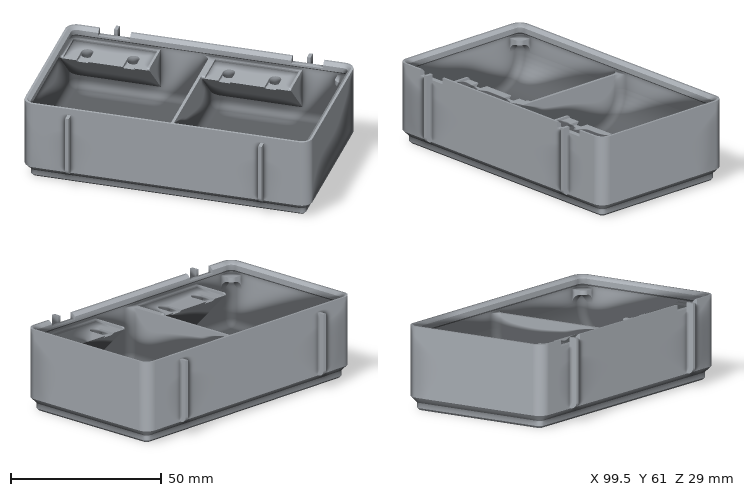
import cadquery as cq

length = 99.5
width = 55.5
height = 29.0
rib_reach = 2.75

foot_chamfer = 0.8
foot_straight = 1.8
foot_slope = 2.15
foot_height = foot_chamfer + foot_straight + foot_slope
outer_radius = 3.75

wall = 1.2
lip = 1.9
lip_flat = 0.8
lip_slope = lip - lip_flat
lip_straight = 1.8
lip_undercut = lip - wall
lip_slope_bottom = height - lip_slope
lip_bottom = lip_slope_bottom - lip_straight
wall_top = lip_bottom - lip_undercut

divider = 1.0
floor_z = 6.2
inner_top = 24.7
inner_radius = outer_radius - wall
scoop_radius = 13.3
inner_length = length - 2 * wall
inner_width = width - 2 * wall
pocket_length = (inner_length - divider) / 2
pocket_starts = (-inner_length / 2, divider / 2)
back_wall_y = inner_width / 2

shelf_length = 31.1
shelf_front_y = 12.95
label_length = 29.0
label_left_rim = 1.3
label_back_y = 25.2
label_depth = 0.8
label_z = inner_top - label_depth
rim_end_radius = 0.6
socket_diameter = 4.0
socket_depth = 4.0
socket_y = 19.2
socket_spacing = 16.0
slot_depth = 1.0

seat_size = 4.8
seat_radius = 1.9
seat_cove_radius = 3.2
seat_thickness = 1.6
seat_corners = ((-1, -1), (1, -1), (1, 1))

rib_thickness = 1.2
rib_x = 33.4
rib_bottom = 5.0
rib_radius = 2.0
front_rib_top = 26.8
notch_length = 11.0
notch_depth = 2.2


def slab(inset, z, thickness):
    """Upright rounded block, inset from the outer wall, rising from z."""
    return (
        cq.Workplane("XY", origin=(0, 0, z))
        .rect(length - 2 * inset, width - 2 * inset)
        .extrude(thickness)
        .edges("|Z")
        .fillet(outer_radius - inset)
    )


def frustum(low_inset, high_inset, z, thickness):
    """Rounded block whose inset changes evenly from low_inset at z to high_inset at the top."""
    def outline(inset):
        return cq.Sketch().rect(length - 2 * inset, width - 2 * inset).vertices().fillet(outer_radius - inset)

    top_position = cq.Location(cq.Vector(0, 0, thickness))
    return (
        cq.Workplane("XY", origin=(0, 0, z))
        .placeSketch(outline(low_inset), outline(high_inset).moved(top_position))
        .loft(ruled=True)
    )


def box(x, y, z, x_size, y_size, z_size):
    """Block with its lowest corner at x, y, z."""
    return cq.Workplane("XY", origin=(x, y, z)).box(x_size, y_size, z_size, centered=False)


def make_body():
    """Solid outer shape: chamfered foot, slope and upright walls."""
    body = frustum(foot_slope + foot_chamfer, foot_slope, 0, foot_chamfer)
    body = body.union(slab(foot_slope, foot_chamfer, foot_straight))
    body = body.union(frustum(foot_slope, 0, foot_chamfer + foot_straight, foot_slope))
    return body.union(slab(0, foot_height, height - foot_height))


def make_rim_opening():
    """Space above the divider, narrowing at the lip and flaring to the rim."""
    opening = slab(wall, inner_top, wall_top - inner_top)
    opening = opening.union(frustum(wall, lip, wall_top, lip_undercut))
    opening = opening.union(slab(lip, lip_bottom, lip_straight))
    return opening.union(frustum(lip, lip_flat, lip_slope_bottom, lip_slope))


def make_pocket(x_start):
    """Compartment space with a wide scoop along the front of its floor."""
    front = -inner_width / 2
    block = box(x_start, front, floor_z, pocket_length, inner_width, inner_top - floor_z)
    block = block.edges("<Y and <Z").fillet(scoop_radius)
    side_edges = block.faces("<X or >X").edges("not >Z").vals()
    back_edges = block.edges("|X and >Y and <Z").vals()
    return block.newObject(side_edges + back_edges).fillet(inner_radius)


def make_shelf(x_start):
    """Label shelf on a 45 degree bracket, with a front-opening recess and two slotted sockets."""
    depth = back_wall_y - shelf_front_y
    bracket = (
        cq.Workplane("YZ", origin=(x_start, 0, 0))
        .moveTo(shelf_front_y, label_z)
        .lineTo(back_wall_y, label_z - depth)
        .lineTo(back_wall_y, inner_top)
        .lineTo(shelf_front_y + rim_end_radius, inner_top)
        .radiusArc((shelf_front_y, inner_top - rim_end_radius), -rim_end_radius)
        .close()
        .extrude(shelf_length)
    )
    label_x = x_start + label_left_rim
    recess = box(label_x, shelf_front_y, label_z, label_length, label_back_y - shelf_front_y, label_depth)
    shelf = bracket.cut(recess)
    for side in (-1, 1):
        socket_x = label_x + label_length / 2 + side * socket_spacing / 2
        socket = (
            cq.Workplane("XY", origin=(socket_x, socket_y, label_z))
            .circle(socket_diameter / 2)
            .extrude(-socket_depth)
        )
        slot = box(
            socket_x - socket_diameter / 2, shelf_front_y, label_z - slot_depth,
            socket_diameter, socket_y - shelf_front_y, slot_depth,
        )
        shelf = shelf.cut(socket).cut(slot)
    return shelf


def make_seat(x_side, y_side):
    """Corner seat with a rounded free corner and an underside coved into the walls."""
    seat_bottom = inner_top - seat_thickness - seat_cove_radius
    root_depth = wall / 2
    size = seat_size + root_depth
    center_x = x_side * (inner_length / 2 - seat_size + size / 2)
    center_y = y_side * (inner_width / 2 - seat_size + size / 2)
    seat = (
        cq.Workplane("XY", origin=(center_x, center_y, seat_bottom))
        .rect(size, size)
        .extrude(inner_top - seat_bottom)
    )
    free_edge = ("<X" if x_side > 0 else ">X") + " and " + ("<Y" if y_side > 0 else ">Y")
    seat = seat.edges(free_edge).fillet(seat_radius)
    space_below = (
        cq.Workplane("XY", origin=(0, 0, floor_z))
        .box(inner_length, inner_width, inner_top - seat_thickness - floor_z, centered=(True, True, False))
        .edges(">Z")
        .fillet(seat_cove_radius)
    )
    return seat.cut(space_below).intersect(slab(root_depth, 0, height))


def make_rib(x_center, y_side, top):
    """Upright outer rib rooted in the wall, with a rounded lower end."""
    root_depth = wall / 2
    rib = box(
        x_center - rib_thickness / 2, width / 2 - root_depth, rib_bottom,
        rib_thickness, rib_reach + root_depth, top - rib_bottom,
    )
    rib = rib.edges(">Y and <Z").fillet(rib_radius)
    return rib if y_side > 0 else rib.mirror("XZ")


def make_notch(x_center):
    """Gap through the back rim."""
    return box(x_center - notch_length / 2, width / 2 - lip, height - notch_depth, notch_length, lip, notch_depth)


result = make_body().cut(make_rim_opening())
for pocket_x in pocket_starts:
    result = result.cut(make_pocket(pocket_x))
for shelf_x in pocket_starts:
    result = result.union(make_shelf(shelf_x))
for corner in seat_corners:
    result = result.union(make_seat(*corner))
for rib_center in (-rib_x, rib_x):
    result = result.union(make_rib(rib_center, 1, height))
    result = result.union(make_rib(rib_center, -1, front_rib_top))
    result = result.cut(make_notch(rib_center))